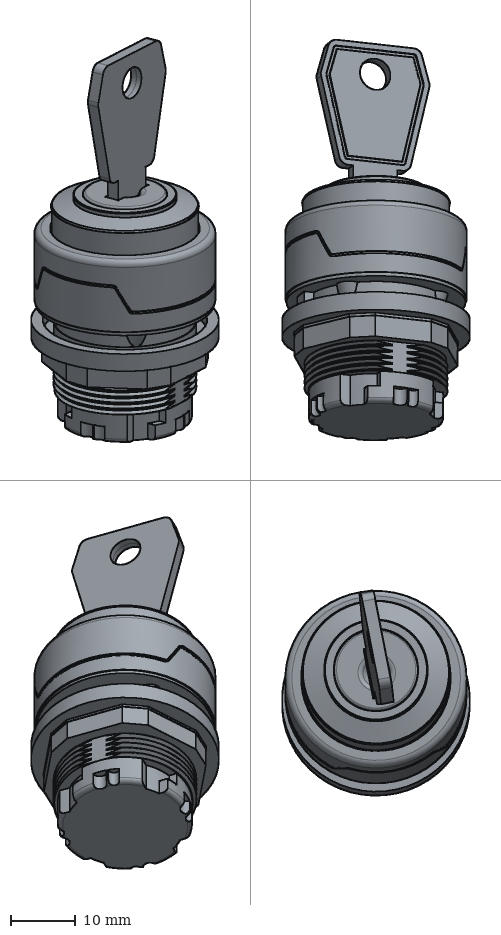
import cadquery as cq
import math

TOTAL_HEIGHT = 60.65
THREAD_BOTTOM = 4.93
NUT_BOTTOM = 9.8
FLANGE_BOTTOM = 13.6
FLANGE_TOP = 16.45
BEZEL_BOTTOM = 19.25
BEZEL_TOP = 31.65
COLLAR_RIM_BOTTOM = 35.26
COLLAR_RIM_TOP = 35.6
LOCK_RING_BOTTOM = 36.5
LOCK_RING_TOP = 37.27
PLUG_TOP = 37.63

BARREL_DIAMETER = 20.75
BARREL_BOTTOM_FILLET = 0.75
RECESS_DIAMETER = 18.3
RECESS_SIDE_OFFSET = 6.33
RECESS_LOW_EDGE = 4.83
RECESS_HIGH_EDGE = 3.0
RECESS_LEDGE_HEIGHT = 2.6
GROOVE_CENTRES = (0.15, 2.39)
GROOVE_RADII = (1.1, 0.86)
QUARTER_TURNS = (0, 90, 180, 270)

THREAD_CREST_DIAMETER = 22.1
THREAD_ROOT_DIAMETER = 20.9
THREAD_PITCH = 1.0
THREAD_OVERLAP = 0.15
THREAD_HALF_TOOTH = 0.48
THREAD_RUNOUT = 0.7

NUT_ACROSS_FLATS = 24.0
NUT_ACROSS_CORNERS = 25.4
NUT_LIP_HEIGHT = 0.45
NUT_LIP_FLARE = 0.15
FLANGE_DIAMETER = 29.0
FLANGE_BORE_DIAMETER = 25.35
FLANGE_BORE_DEPTH = 2.0

NECK_DIAMETER = 21.85
NECK_BASE_DIAMETER = 22.0
NECK_STEP_HEIGHT = 16.2
GUSSET_RADIUS = 1.9
GUSSET_HALF_WIDTH = 1.78
TAB_REACH = 12.4
TAB_WIDTH = 3.0
TAB_BOTTOM = 16.75

BEZEL_DIAMETER = 28.0
BEZEL_LIP_DIAMETER = 27.65
BEZEL_LIP_HEIGHT = 0.6
BEZEL_TOP_FILLET = 1.0
SEAM_DEPTH = 0.175
SEAM_WIDTH = 0.36
SEAM_LOW = 23.05
SEAM_HIGH = 27.4
SEAM_INNER_HALF = 6.8
SEAM_OUTER_HALF = 8.85
SEAM_CORNER_RADIUS = 0.6

COLLAR_DIAMETER = 22.66
COLLAR_RIM_DIAMETER = 22.85
COLLAR_CONE_DIAMETER = 22.5
COLLAR_GAP_DIAMETER = 23.1
COLLAR_GAP_DEPTH = 0.5
LOCK_RING_DIAMETER = 16.0
LOCK_RING_CHAMFER = 0.15
PLUG_DIAMETER = 12.9
PLUG_GAP_DIAMETER = 13.05
PLUG_GAP_DEPTH = 0.3
PLUG_FILLET = 0.35

KEY_CENTRE_Y = 0.5
KEY_THICKNESS = 2.0
KEY_BLADE_WIDTH = 7.3
KEY_BLADE_DEPTH = 3.0
KEY_BOW_BOTTOM = 40.67
KEY_WIDEST_HEIGHT = 54.95
KEY_TOP_HALF = 7.4
KEY_WIDEST_HALF = 9.0
KEY_BOTTOM_HALF = 5.65
KEY_TOP_FILLET = 1.45
KEY_SIDE_FILLET = 1.5
KEY_BOTTOM_FILLET = 1.4
KEY_HOLE_DIAMETER = 5.0
KEY_HOLE_HEIGHT = 55.76
KEY_BORDER_OUTER = 0.93
KEY_BORDER_INNER = 1.48
KEY_BORDER_DEPTH = 0.3
KEYWAY_WIDTH = 2.5
KEYWAY_LENGTH = 8.0
KEYWAY_DEPTH = 1.7
DIMPLE_LIP_RADIUS = 1.0
DIMPLE_RIM_RADIUS = 2.9
DIMPLE_SLOPE = math.radians(50)


def cylinder(diameter, bottom, top):
    return cq.Workplane("XY").workplane(offset=bottom).circle(diameter / 2).extrude(top - bottom)


def block(x_min, x_max, y_min, y_max, z_min, z_max):
    size = (x_max - x_min, y_max - y_min, z_max - z_min)
    return cq.Workplane("XY").box(*size, centered=False).translate((x_min, y_min, z_min))


def ring(outer_diameter, inner_diameter, bottom, top):
    return cylinder(outer_diameter, bottom, top).cut(cylinder(inner_diameter, bottom, top))


def make_barrel():
    barrel = cylinder(BARREL_DIAMETER, 0, THREAD_BOTTOM).faces("<Z").edges().fillet(BARREL_BOTTOM_FILLET)
    reach = BARREL_DIAMETER / 2
    high = block(-reach, -RECESS_HIGH_EDGE, -reach, -RECESS_SIDE_OFFSET, RECESS_LEDGE_HEIGHT, THREAD_BOTTOM)
    low = block(-reach, -RECESS_LOW_EDGE, -reach, -RECESS_SIDE_OFFSET, 0, RECESS_LEDGE_HEIGHT)
    recess = high.union(low).cut(cylinder(RECESS_DIAMETER, 0, THREAD_BOTTOM))
    for centre, radius in zip(GROOVE_CENTRES, GROOVE_RADII):
        depth_centre = -math.sqrt(reach**2 - centre**2)
        groove = cylinder(2 * radius, 0, RECESS_LEDGE_HEIGHT).translate((centre, depth_centre, 0))
        recess = recess.union(groove)
    for angle in QUARTER_TURNS:
        barrel = barrel.cut(recess.rotate((0, 0, 0), (0, 0, 1), angle))
    return barrel


def make_thread():
    root = THREAD_ROOT_DIAMETER / 2
    crest = THREAD_CREST_DIAMETER / 2
    core = cylinder(THREAD_ROOT_DIAMETER, THREAD_BOTTOM, NUT_BOTTOM).rotate((0, 0, 0), (0, 0, 1), 90)
    start = THREAD_BOTTOM - THREAD_RUNOUT
    height = NUT_BOTTOM - THREAD_BOTTOM + 2 * THREAD_RUNOUT
    path = cq.Wire.makeHelix(THREAD_PITCH, height, root).translate(cq.Vector(0, 0, start))
    inner = root - THREAD_OVERLAP
    profile = (
        cq.Workplane("XZ")
        .polyline([(inner, start - THREAD_HALF_TOOTH), (crest, start), (inner, start + THREAD_HALF_TOOTH)])
        .close()
    )
    tooth = profile.sweep(cq.Workplane(path), isFrenet=True)
    flat = BARREL_DIAMETER / 2
    envelope = block(-flat, flat, -FLANGE_DIAMETER / 2, FLANGE_DIAMETER / 2, THREAD_BOTTOM, NUT_BOTTOM)
    return core.union(tooth).intersect(envelope)


def nut_outline(bottom, flare):
    def hexagon(across):
        return cq.Workplane("XY").workplane(offset=bottom).polygon(6, across / math.cos(math.pi / 6))

    return hexagon(NUT_ACROSS_FLATS + flare), hexagon(NUT_ACROSS_CORNERS + flare)


def nut_prism(bottom, height, flare):
    flats, corners = nut_outline(bottom, flare)
    flats = flats.extrude(height).rotate((0, 0, 0), (0, 0, 1), 30)
    return flats.intersect(corners.extrude(height))


def make_nut():
    lip_bottom = FLANGE_BOTTOM - NUT_LIP_HEIGHT
    body = nut_prism(NUT_BOTTOM, FLANGE_BOTTOM - NUT_BOTTOM, 0)
    return body.union(nut_prism(lip_bottom, NUT_LIP_HEIGHT, NUT_LIP_FLARE))


def make_flange():
    bore_floor = FLANGE_TOP - FLANGE_BORE_DEPTH
    flange = cylinder(FLANGE_DIAMETER, FLANGE_BOTTOM, FLANGE_TOP)
    flange = flange.cut(cylinder(FLANGE_BORE_DIAMETER, bore_floor, FLANGE_TOP))
    return flange.union(cylinder(NECK_BASE_DIAMETER, bore_floor, NECK_STEP_HEIGHT))


def make_neck():
    radius = NECK_DIAMETER / 2
    neck = cylinder(NECK_DIAMETER, NECK_STEP_HEIGHT, BEZEL_BOTTOM)
    neck_sagitta = radius - math.sqrt(radius**2 - GUSSET_HALF_WIDTH**2)
    gusset_sagitta = GUSSET_RADIUS - math.sqrt(GUSSET_RADIUS**2 - GUSSET_HALF_WIDTH**2)
    gusset_height = BEZEL_BOTTOM - NECK_STEP_HEIGHT
    lean = math.degrees(math.atan2(gusset_sagitta - neck_sagitta, gusset_height))
    gusset = (
        cylinder(2 * GUSSET_RADIUS, -gusset_height, 2 * gusset_height)
        .translate((-GUSSET_RADIUS, 0, 0))
        .rotate((0, 0, 0), (0, 1, 0), lean)
        .translate((radius, 0, NECK_STEP_HEIGHT))
        .intersect(cylinder(BEZEL_LIP_DIAMETER, NECK_STEP_HEIGHT, BEZEL_BOTTOM))
    )
    for angle in QUARTER_TURNS:
        neck = neck.union(gusset.rotate((0, 0, 0), (0, 0, 1), angle + 45))
    tab = block(-TAB_WIDTH / 2, TAB_WIDTH / 2, 0, TAB_REACH, TAB_BOTTOM, BEZEL_BOTTOM)
    return neck.union(tab)


def seam_edge(height_shift):
    """Upper or lower edge of the seam strip, from left to right, as (x, z) points."""
    half = BEZEL_DIAMETER / 2 + 1
    low = SEAM_LOW + height_shift
    high = SEAM_HIGH + height_shift
    return [
        (-half, low),
        (-SEAM_OUTER_HALF, low),
        (-SEAM_INNER_HALF, high),
        (SEAM_INNER_HALF, high),
        (SEAM_OUTER_HALF, low),
        (half, low),
    ]


def make_bezel():
    bezel = cylinder(BEZEL_DIAMETER, BEZEL_BOTTOM + BEZEL_LIP_HEIGHT, BEZEL_TOP)
    bezel = bezel.faces(">Z").edges().fillet(BEZEL_TOP_FILLET)
    bezel = bezel.union(cylinder(BEZEL_LIP_DIAMETER, BEZEL_BOTTOM, BEZEL_BOTTOM + BEZEL_LIP_HEIGHT))
    strip = (
        cq.Workplane("XZ")
        .polyline(seam_edge(SEAM_WIDTH / 2) + seam_edge(-SEAM_WIDTH / 2)[::-1])
        .close()
        .extrude(BEZEL_DIAMETER, both=True)
    )
    bend = SEAM_OUTER_HALF + 1
    bends = cq.selectors.BoxSelector((-bend, -50, 0), (bend, 50, TOTAL_HEIGHT))
    strip = strip.edges("|Y").edges(bends).fillet(SEAM_CORNER_RADIUS)
    strip = strip.cut(cylinder(BEZEL_DIAMETER - 2 * SEAM_DEPTH, BEZEL_BOTTOM, BEZEL_TOP))
    gap = ring(COLLAR_GAP_DIAMETER, COLLAR_DIAMETER, BEZEL_TOP - COLLAR_GAP_DEPTH, BEZEL_TOP)
    return bezel.cut(strip).cut(gap)


def make_collar():
    collar = cylinder(COLLAR_DIAMETER, BEZEL_TOP, COLLAR_RIM_BOTTOM)
    rim = cq.Solid.makeCone(
        COLLAR_RIM_DIAMETER / 2,
        COLLAR_CONE_DIAMETER / 2,
        COLLAR_RIM_TOP - COLLAR_RIM_BOTTOM,
        cq.Vector(0, 0, COLLAR_RIM_BOTTOM),
    )
    cone = cq.Solid.makeCone(
        COLLAR_CONE_DIAMETER / 2,
        LOCK_RING_DIAMETER / 2,
        LOCK_RING_BOTTOM - COLLAR_RIM_TOP,
        cq.Vector(0, 0, COLLAR_RIM_TOP),
    )
    lock_ring = cylinder(LOCK_RING_DIAMETER, COLLAR_RIM_TOP, LOCK_RING_TOP)
    lock_ring = lock_ring.faces(">Z").edges().chamfer(LOCK_RING_CHAMFER)
    gap = ring(PLUG_GAP_DIAMETER, PLUG_DIAMETER, LOCK_RING_TOP - PLUG_GAP_DEPTH, LOCK_RING_TOP)
    plug = cylinder(PLUG_DIAMETER, LOCK_RING_TOP - PLUG_GAP_DEPTH, PLUG_TOP)
    plug = plug.faces(">Z").edges().fillet(PLUG_FILLET)
    collar = collar.union(cq.Workplane(rim)).union(cq.Workplane(cone)).union(lock_ring.cut(gap)).union(plug)
    keyway = block(
        -KEYWAY_WIDTH / 2,
        KEYWAY_WIDTH / 2,
        KEY_CENTRE_Y - KEYWAY_LENGTH / 2,
        KEY_CENTRE_Y + KEYWAY_LENGTH / 2,
        PLUG_TOP - KEYWAY_DEPTH,
        PLUG_TOP,
    )
    cone_radius = DIMPLE_RIM_RADIUS - DIMPLE_LIP_RADIUS * math.sin(DIMPLE_SLOPE)
    cone_top = PLUG_TOP - DIMPLE_LIP_RADIUS * (1 - math.cos(DIMPLE_SLOPE))
    dimple = (
        cq.Workplane("XZ")
        .moveTo(0, PLUG_TOP)
        .lineTo(DIMPLE_RIM_RADIUS, PLUG_TOP)
        .radiusArc((cone_radius, cone_top), -DIMPLE_LIP_RADIUS)
        .lineTo(0, cone_top - cone_radius * math.tan(DIMPLE_SLOPE))
        .close()
        .revolve(360, (0, 0, 0), (0, 1, 0))
        .translate((0, KEY_CENTRE_Y, 0))
    )
    return collar.cut(keyway).cut(dimple)


def make_key():
    bow = (
        cq.Workplane("YZ")
        .polyline([
            (-KEY_BOTTOM_HALF, KEY_BOW_BOTTOM),
            (KEY_BOTTOM_HALF, KEY_BOW_BOTTOM),
            (KEY_WIDEST_HALF, KEY_WIDEST_HEIGHT),
            (KEY_TOP_HALF, TOTAL_HEIGHT),
            (-KEY_TOP_HALF, TOTAL_HEIGHT),
            (-KEY_WIDEST_HALF, KEY_WIDEST_HEIGHT),
        ])
        .close()
        .extrude(KEY_THICKNESS / 2, both=True)
    )
    bow = bow.edges("|X").edges(">Z").fillet(KEY_TOP_FILLET)
    bow = bow.edges("|X").edges("<Z").fillet(KEY_BOTTOM_FILLET)
    bow = bow.edges("|X").edges("<Y or >Y").fillet(KEY_SIDE_FILLET)
    outline = bow.faces("<X").wires().vals()[0]
    border_outer = outline.offset2D(-KEY_BORDER_OUTER)[0]
    border_inner = outline.offset2D(-KEY_BORDER_INNER)[0]
    border = cq.Solid.extrudeLinear(border_outer, [border_inner], cq.Vector(KEY_BORDER_DEPTH, 0, 0))
    hole = (
        cq.Workplane("YZ")
        .center(0, KEY_HOLE_HEIGHT)
        .circle(KEY_HOLE_DIAMETER / 2)
        .extrude(KEY_THICKNESS, both=True)
    )
    blade = block(
        -KEY_THICKNESS / 2,
        KEY_THICKNESS / 2,
        -KEY_BLADE_WIDTH / 2,
        KEY_BLADE_WIDTH / 2,
        PLUG_TOP - KEY_BLADE_DEPTH,
        KEY_BOW_BOTTOM,
    )
    key = bow.cut(cq.Workplane(border)).cut(hole).union(blade)
    return key.translate((0, KEY_CENTRE_Y, 0))


result = make_barrel()
for section in (
    make_thread(),
    make_nut(),
    make_flange(),
    make_neck(),
    make_bezel(),
    make_collar(),
    make_key(),
):
    result = result.union(section)